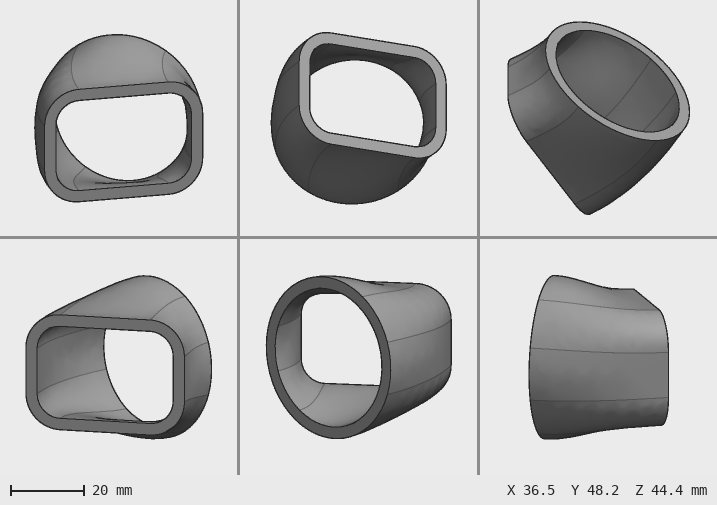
import cadquery as cq
import math

ROUND_DIAMETER = 44.4
MOUTH_WIDTH = 44.4
MOUTH_HEIGHT = 31.85
MOUTH_CORNER = 9.65
WALL = 3.2
BEND_ANGLE = 30.0
BEND_REACH = 25.4
BEND_RADIUS = BEND_REACH / math.sin(math.radians(BEND_ANGLE))

SIDE_HALF_ANGLE = 19.0
CAP_HALF_ANGLE = 33.0

SECTION_COUNT = 7
POINTS_PER_EDGE = 5


def mix(start, end, share):
    return start + (end - start) * share


def corner_angles():
    """Start and end angles of the four corner stretches on the round end."""
    low = SIDE_HALF_ANGLE
    high = 90 - CAP_HALF_ANGLE
    return [(low, high), (180 - high, 180 - low), (180 + low, 180 + high), (360 - high, 360 - low)]


def profile_edges(inset, blend):
    """Point lists for eight profile edges; blend runs from 0 (mouth) to 1 (round)."""
    radius = ROUND_DIAMETER / 2 - inset
    corner = MOUTH_CORNER - inset
    corner_y = MOUTH_WIDTH / 2 - MOUTH_CORNER
    corner_z = MOUTH_HEIGHT / 2 - MOUTH_CORNER
    signs = [(1, 1), (-1, 1), (-1, -1), (1, -1)]
    angles = corner_angles()

    def mouth_point(index, share):
        turn = math.radians(90 * (index + share))
        sign_y, sign_z = signs[index]
        return (sign_y * corner_y + corner * math.cos(turn), sign_z * corner_z + corner * math.sin(turn))

    def blended(mouth, angle):
        turn = math.radians(angle)
        return (
            mix(mouth[0], radius * math.cos(turn), blend),
            mix(mouth[1], radius * math.sin(turn), blend),
        )

    shares = [i / (POINTS_PER_EDGE - 1) for i in range(POINTS_PER_EDGE)]
    edges = []
    for index, (first, last) in enumerate(angles):
        following = (index + 1) % 4
        next_first = angles[following][0] + (360 if following == 0 else 0)
        edges.append([blended(mouth_point(index, s), mix(first, last, s)) for s in shares])
        side_start = mouth_point(index, 1)
        side_end = mouth_point(following, 0)
        edges.append([
            blended(
                (mix(side_start[0], side_end[0], s), mix(side_start[1], side_end[1], s)),
                mix(last, next_first, s),
            )
            for s in shares
        ])
    return edges


def section_wire(inset, progress):
    """Closed profile on a plane turned part of the way round the bend."""
    blend = progress**2 * (3 - 2 * progress)
    turn = math.radians(BEND_ANGLE * progress)

    def place(point):
        distance = BEND_RADIUS - point[0]
        return cq.Vector(-distance * math.sin(turn), BEND_RADIUS - distance * math.cos(turn), point[1])

    edges = []
    for points in profile_edges(inset, blend):
        placed = [place(p) for p in points]
        middle = placed[len(placed) // 2]
        if progress == 0 and len(edges) % 2 == 1:
            edges.append(cq.Edge.makeLine(placed[0], placed[-1]))
        elif progress in (0, 1):
            edges.append(cq.Edge.makeThreePointArc(placed[0], middle, placed[-1]))
        else:
            edges.append(cq.Edge.makeSpline(placed))
    return cq.Wire.assembleEdges(edges)


def lofted_body(inset):
    steps = SECTION_COUNT - 1
    return cq.Solid.makeLoft([section_wire(inset, i / steps) for i in range(SECTION_COUNT)])


outer_body = cq.Workplane(obj=lofted_body(0))
inner_passage = cq.Workplane(obj=lofted_body(WALL))
result = outer_body.cut(inner_passage)